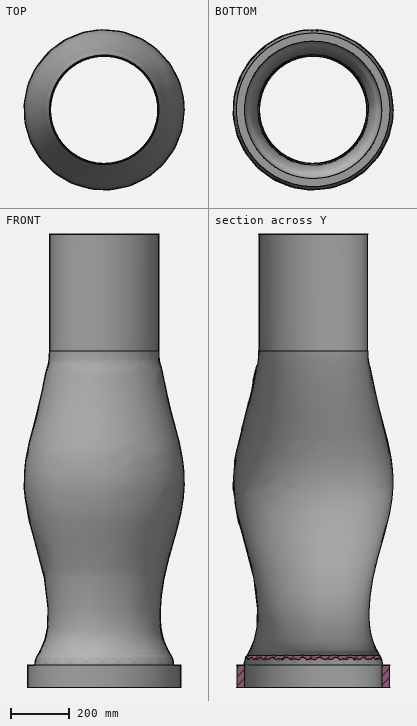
import cadquery as cq

total_height = 1541.69
tube_outer_diameter = 372.03
tube_bore_diameter = 364.1
base_diameter = 522.17
base_bore_diameter = 466.91
bulge_diameter = 545.18
shoulder_diameter = 373.0

tube_length = 396.875
base_height = 76.2
body_wall = 3.175

shoulder_height = total_height - tube_length
tube_outer_radius = tube_outer_diameter / 2
tube_bore_radius = tube_bore_diameter / 2
base_radius = base_diameter / 2
foot_inner_radius = base_bore_diameter / 2
foot_radius = foot_inner_radius + body_wall
bulge_radius = bulge_diameter / 2
shoulder_radius = shoulder_diameter / 2

body_outer_curve = [
    (foot_radius, base_height),
    (221.0, 120.0),
    (203.0, 160.0),
    (191.0, 255.0),
    (214.3, 419.0),
    (255.0, 567.0),
    (bulge_radius, 704.0),
    (252.6, 845.0),
    (214.5, 993.0),
    (192.5, 1095.0),
    (shoulder_radius, shoulder_height),
]


def make_base():
    """Ring under the body, bored to the inside of the foot."""
    return cq.Workplane("XY").circle(base_radius).circle(foot_inner_radius).extrude(base_height)


def make_body():
    """Curved shell of constant radial wall, upright at its foot and at its shoulder."""
    upward = (0, 1)
    downward = (0, -1)
    inner_curve = [(radius - body_wall, height) for radius, height in reversed(body_outer_curve)]
    return (
        cq.Workplane("XZ")
        .moveTo(*body_outer_curve[0])
        .spline(body_outer_curve[1:], tangents=[upward, upward], includeCurrent=True)
        .lineTo(*inner_curve[0])
        .spline(inner_curve[1:], tangents=[downward, downward], includeCurrent=True)
        .close()
        .revolve(360, (0, 0, 0), (0, 1, 0))
    )


def make_tube():
    """Straight open tube standing on the shoulder of the body."""
    return (
        cq.Workplane("XY", origin=(0, 0, shoulder_height))
        .circle(tube_outer_radius)
        .circle(tube_bore_radius)
        .extrude(tube_length)
    )


result = make_base().union(make_body()).union(make_tube())